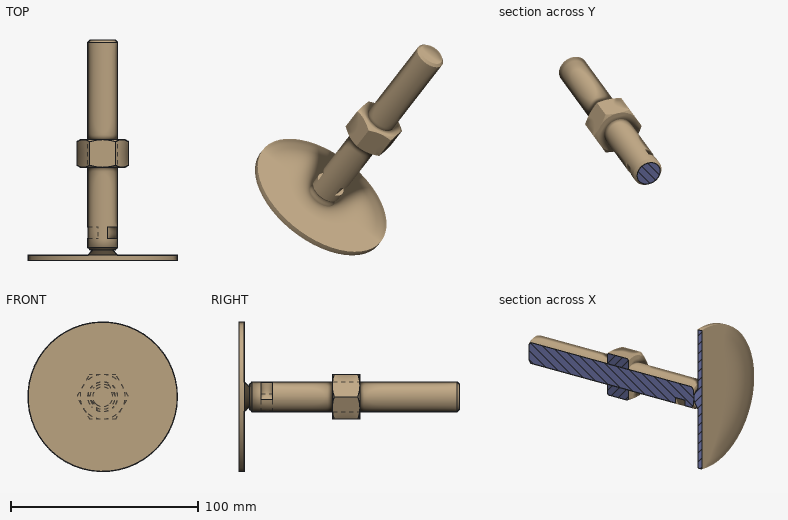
import cadquery as cq
import math

total_length = 118.0

plate_diameter = 80.0
plate_thickness = 3.0
neck_base_diameter = 15.8
neck_tip_diameter = 10.6

rod_diameter = 16.0
rod_start = 5.8
rod_chamfer = 1.3
flats_start = 11.9
flats_length = 6.0
flats_across = 12.0
flats_angle = 30.0

nut_start = 49.9
nut_height = 14.8
nut_across_flats = 24.0
nut_sides = 6
nut_bevel_angle = 30.0
nut_across_corners = nut_across_flats / math.cos(math.pi / nut_sides)


def revolve_about_y(profile):
    """Revolve (radius, y) points around the Y axis."""
    return cq.Workplane("XY").polyline(profile).close().revolve(360, (0, 0, 0), (0, 1, 0))


def plane_at(y):
    """Workplane across the axis, with its normal along +Y and its local X along +X."""
    return cq.Workplane(cq.Plane(origin=(0, y, 0), xDir=(1, 0, 0), normal=(0, 1, 0)))


def make_foot():
    """Round plate with a conical neck that meets the rod."""
    return revolve_about_y([
        (0, 0),
        (plate_diameter / 2, 0),
        (plate_diameter / 2, plate_thickness),
        (neck_base_diameter / 2, plate_thickness),
        (neck_tip_diameter / 2, rod_start),
        (0, rod_start),
    ])


def make_rod():
    """Plain rod, chamfered at both ends, with two wrench flats near the foot."""
    rod = plane_at(rod_start).circle(rod_diameter / 2).extrude(total_length - rod_start)
    rod = rod.faces("<Y or >Y").edges().chamfer(rod_chamfer)
    oversize_radius = rod_diameter
    disc = plane_at(flats_start).circle(oversize_radius).extrude(flats_length)
    strip = plane_at(flats_start).rect(flats_across, 2 * oversize_radius).extrude(flats_length)
    waste = disc.cut(strip).rotate((0, 0, 0), (0, 1, 0), -flats_angle)
    return rod.cut(waste)


def make_nut():
    """Hexagon nut with corners along X and conical bevels on both faces."""
    nut = plane_at(nut_start).polygon(nut_sides, nut_across_corners).extrude(nut_height)
    face_radius = nut_across_flats / 2
    corner_radius = nut_across_corners / 2
    bevel_height = (corner_radius - face_radius) * math.tan(math.radians(nut_bevel_angle))
    nut_end = nut_start + nut_height
    bevel_envelope = revolve_about_y([
        (0, nut_start),
        (face_radius, nut_start),
        (corner_radius, nut_start + bevel_height),
        (corner_radius, nut_end - bevel_height),
        (face_radius, nut_end),
        (0, nut_end),
    ])
    bore = plane_at(nut_start).circle(rod_diameter / 2).extrude(nut_height)
    return nut.intersect(bevel_envelope).cut(bore)


foot = make_foot()
rod = make_rod()
nut = make_nut()

result = cq.Compound.makeCompound([foot.val(), rod.val(), nut.val()])